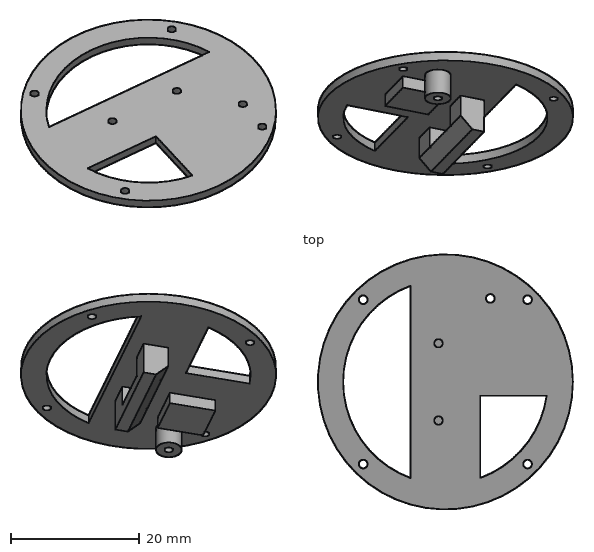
import cadquery as cq
import math

plate_diameter = 39.72
plate_thickness = 1.5
rim_width = 3.97
total_height = 7.0
window_radius = plate_diameter / 2 - rim_width

window_edge_x = 5.45
corner_window_top_y = -2.2

hole_diameter = 1.3
rim_hole_offset = 12.8

bracket_width = 4.0
bracket_length = 16.0
bracket_center_x = -1.07
bracket_chamfer = 2.0
bracket_opening_length = 8.02
bracket_opening_height = 3.5
bracket_height = total_height - plate_thickness
bracket_hole_spacing = (bracket_length + bracket_opening_length) / 2
bracket_hole_depth = plate_thickness + bracket_opening_height

post_diameter = 4.0
post_height = 4.0
post_center = (7.0, 13.0)
block_size_x = 7.35
block_size_y = 6.95
block_height = 2.0
block_min_x = 4.5
block_min_y = 3.57


def window_disc():
    return cq.Workplane("XY").circle(window_radius).extrude(-plate_thickness)


def left_window():
    """Circular segment left of a straight edge."""
    half_chord = math.sqrt(window_radius**2 - window_edge_x**2)
    return (
        cq.Workplane("XY")
        .moveTo(-window_edge_x, half_chord)
        .threePointArc((-window_radius, 0), (-window_edge_x, -half_chord))
        .close()
        .extrude(-plate_thickness)
    )


def corner_window():
    """Part of the window disc right of one edge and below another."""
    corner = (
        cq.Workplane("XY")
        .moveTo(window_edge_x, corner_window_top_y)
        .rect(window_radius, -window_radius, centered=False)
        .extrude(-plate_thickness)
    )
    return window_disc().intersect(corner)


def bracket():
    """U-shaped bracket with one lower long edge chamfered."""
    below_plate = cq.Workplane("XY", origin=(bracket_center_x, 0, -plate_thickness))
    body = below_plate.rect(bracket_width, bracket_length).extrude(-bracket_height)
    body = body.faces("<Z").edges(">X").chamfer(bracket_chamfer)
    opening = below_plate.rect(bracket_width, bracket_opening_length).extrude(-bracket_opening_height)
    return body.cut(opening)


def post():
    return (
        cq.Workplane("XY", origin=(*post_center, -plate_thickness))
        .circle(post_diameter / 2)
        .extrude(-post_height)
    )


def block():
    return (
        cq.Workplane("XY", origin=(block_min_x, block_min_y, -plate_thickness))
        .rect(block_size_x, block_size_y, centered=False)
        .extrude(-block_height)
    )


def holes(centers, depth):
    return cq.Workplane("XY").pushPoints(centers).circle(hole_diameter / 2).extrude(-depth)


rim_hole_centers = [
    (side_x * rim_hole_offset, side_y * rim_hole_offset) for side_x in (-1, 1) for side_y in (-1, 1)
]
bracket_hole_centers = [(bracket_center_x, side * bracket_hole_spacing / 2) for side in (-1, 1)]

plate = cq.Workplane("XY").circle(plate_diameter / 2).extrude(-plate_thickness)
plate = plate.cut(left_window()).cut(corner_window())

result = plate.union(bracket()).union(post()).union(block())
result = result.cut(holes(rim_hole_centers, plate_thickness))
result = result.cut(holes([post_center], plate_thickness + post_height))
result = result.cut(holes(bracket_hole_centers, bracket_hole_depth))